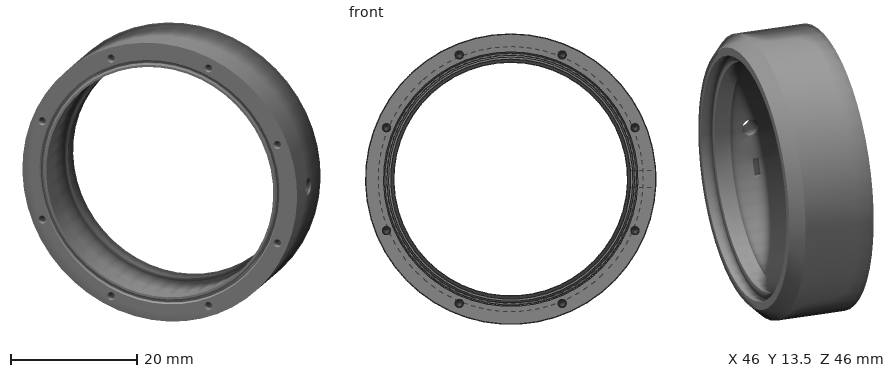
import cadquery as cq
import math

width = 13.5
outer_radius = 23.0
back_chamfer = 2.0

bore_radius = 19.0
throat_radius = 18.5
back_bore_radius = 19.7
throat_start = 9.0
throat_end = 11.7

groove_inner_radius = 19.6
groove_outer_radius = 19.95
groove_depth = 0.5
groove_inner_chamfer_width = 0.25
groove_outer_chamfer_width = 0.2
groove_chamfer_depth = 0.15

screw_hole_count = 8
screw_circle_radius = 21.3
screw_hole_diameter = 1.1
screw_hole_depth = 3.0
screw_mouth_diameter = 1.3
screw_tip_angle = 118.0

side_hole_y = 5.5
side_hole_diameter = 2.7
slot_y = 4.8
slot_z = -6.5
slot_length = 2.7
slot_width = 1.0
slot_depth = 0.65


def revolve_about_y(section):
    """Revolve a closed section of (y, radius) points around the Y axis."""
    return cq.Workplane("YZ").polyline(section).close().revolve(360, (0, 0), (1, 0))


def ring_body():
    """Chamfered ring with the stepped bore."""
    return revolve_about_y([
        (0, bore_radius),
        (0, outer_radius),
        (width - back_chamfer, outer_radius),
        (width, outer_radius - back_chamfer),
        (width, back_bore_radius),
        (throat_end, back_bore_radius),
        (throat_end, throat_radius),
        (throat_start, throat_radius),
        (throat_start, bore_radius),
    ])


def front_groove():
    """Ring-shaped cutter for the groove in the front face."""
    return revolve_about_y([
        (0, groove_inner_radius - groove_inner_chamfer_width),
        (0, groove_outer_radius + groove_outer_chamfer_width),
        (groove_chamfer_depth, groove_outer_radius),
        (groove_depth, groove_outer_radius),
        (groove_depth, groove_inner_radius),
        (groove_chamfer_depth, groove_inner_radius),
    ])


def screw_hole():
    """One hole on the Y axis, entering at y = 0: chamfered mouth, bore and drill-point tip."""
    radius = screw_hole_diameter / 2
    mouth_radius = screw_mouth_diameter / 2
    tip_length = radius / math.tan(math.radians(screw_tip_angle / 2))
    return revolve_about_y([
        (0, 0),
        (0, mouth_radius),
        (mouth_radius - radius, radius),
        (screw_hole_depth, radius),
        (screw_hole_depth + tip_length, 0),
    ])


def screw_holes():
    """The hole pattern, straddling the X and Z axes."""
    holes = cq.Workplane("XY")
    pitch = 360 / screw_hole_count
    for index in range(screw_hole_count):
        angle = math.radians((index + 0.5) * pitch)
        x = screw_circle_radius * math.cos(angle)
        z = screw_circle_radius * math.sin(angle)
        holes = holes.add(screw_hole().translate((x, 0, z)))
    return holes.combine()


def side_hole():
    """Round hole through the wall along +X."""
    return (
        cq.Workplane("YZ")
        .center(side_hole_y, 0)
        .circle(side_hole_diameter / 2)
        .extrude(outer_radius)
    )


def side_slot():
    """Pocket cut along +X into the bore wall, with a floor concentric to the bore."""
    outline = (
        cq.Workplane("YZ")
        .center(slot_y, slot_z)
        .rect(slot_width, slot_length)
        .extrude(outer_radius)
    )
    floor_cylinder = cq.Workplane("XZ").circle(bore_radius + slot_depth).extrude(-width)
    return outline.intersect(floor_cylinder)


result = ring_body().cut(front_groove()).cut(screw_holes()).cut(side_hole()).cut(side_slot())